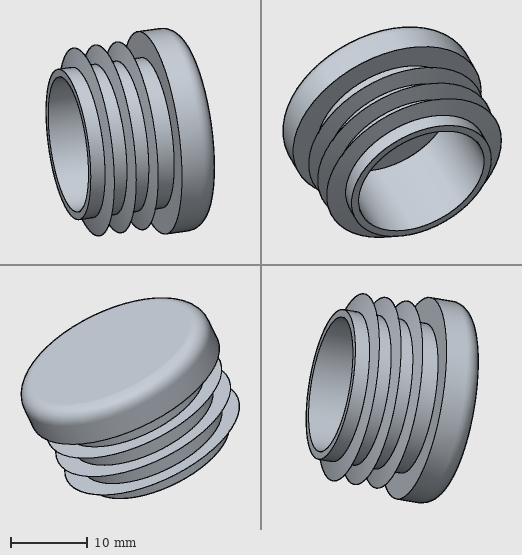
import cadquery as cq

head_diameter = 26.9
head_height = 5.0
head_edge_radius = 2.0

total_length = 16.5
sleeve_diameter = 20.0
bore_diameter = 17.95

fin_diameter = 25.0
fin_root_width = 0.5
first_fin_distance = 2.99
fin_pitch = 3.0
fin_count = 3

sleeve_length = total_length - head_height


def cylinder(diameter, start_y, length):
    """Cylinder on the Y axis running from start_y towards +Y."""
    section = cq.Workplane("XZ", origin=(0, start_y, 0)).circle(diameter / 2)
    return section.extrude(-length)


def make_fin(flat_y):
    """Sharp-edged ring: flat towards the head, conical towards the open end."""
    core_radius = bore_diameter / 2
    sleeve_radius = sleeve_diameter / 2
    profile = [
        (core_radius, flat_y),
        (fin_diameter / 2, flat_y),
        (sleeve_radius, flat_y - fin_root_width),
        (core_radius, flat_y - fin_root_width),
    ]
    return cq.Workplane("XY").polyline(profile).close().revolve(360, (0, 0, 0), (0, 1, 0))


head = cylinder(head_diameter, 0, head_height).faces(">Y").edges().fillet(head_edge_radius)

plug = head.union(cylinder(sleeve_diameter, -sleeve_length, sleeve_length))
for index in range(fin_count):
    plug = plug.union(make_fin(-first_fin_distance - index * fin_pitch))

result = plug.cut(cylinder(bore_diameter, -sleeve_length, sleeve_length))